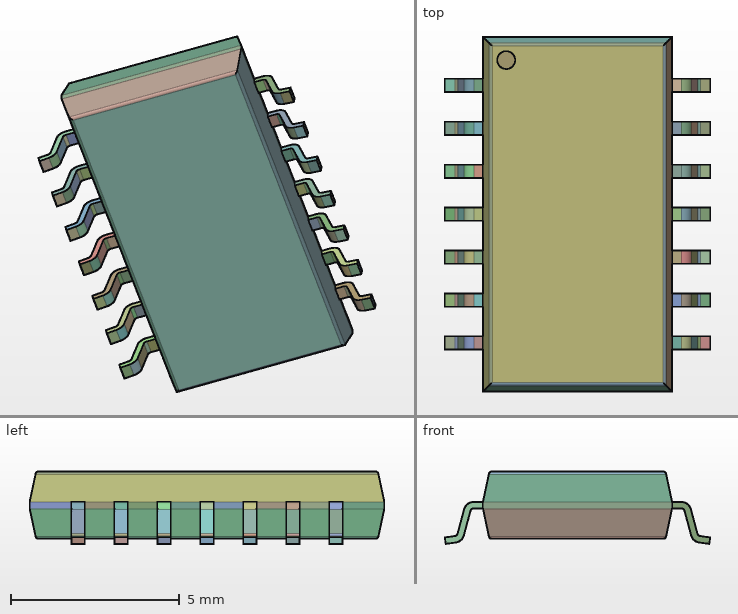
import cadquery as cq
import math

BODY_WIDTH = 5.6
BODY_LENGTH = 10.5
BODY_HEIGHT = 2.0
DRAFT_ANGLE = 12.0
EDGE_RADIUS = 0.1

MARK_DIAMETER = 0.53
MARK_DEPTH = 0.02
MARK_INSET = 0.69

LEADS_PER_SIDE = 7
LEAD_PITCH = 1.27
LEAD_WIDTH = 0.4
LEAD_THICKNESS = 0.2
LEAD_SPAN = 7.86
LEAD_EMBED = 0.2
STANDOFF = 0.15
BEND_RADIUS = 0.2
LEG_ANGLE = 75.0
FOOT_ANGLE = 8.0
FOOT_LENGTH = 0.3

MID_Z = STANDOFF + BODY_HEIGHT / 2
TOP_Z = STANDOFF + BODY_HEIGHT


def make_half_body():
    """Upper half of the body, its middle plane at Z = 0."""
    half_band = LEAD_THICKNESS / 2
    wall_height = BODY_HEIGHT / 2 - half_band
    band = cq.Workplane("XY").rect(BODY_WIDTH, BODY_LENGTH).extrude(half_band)
    wall = (
        cq.Workplane("XY")
        .workplane(offset=half_band)
        .rect(BODY_WIDTH, BODY_LENGTH)
        .extrude(wall_height, taper=DRAFT_ANGLE)
    )
    return band.union(wall).faces(">Z").edges().fillet(EDGE_RADIUS)


def make_body():
    upper = make_half_body()
    lower = upper.mirror("XY")
    return upper.union(lower).translate((0, 0, MID_Z))


def make_pin_mark():
    """Shallow round recess cutter near the -X, +Y corner."""
    x = -BODY_WIDTH / 2 + MARK_INSET
    y = BODY_LENGTH / 2 - MARK_INSET
    return (
        cq.Workplane("XY")
        .workplane(offset=TOP_Z - MARK_DEPTH)
        .center(x, y)
        .circle(MARK_DIAMETER / 2)
        .extrude(2 * MARK_DEPTH)
    )


def make_lead():
    """One +X lead, centred on Y = 0: a strip swept along its bent centreline."""
    leg = math.radians(LEG_ANGLE)
    foot = math.radians(FOOT_ANGLE)
    half_thickness = LEAD_THICKNESS / 2

    tip_x = LEAD_SPAN / 2 - half_thickness * math.sin(foot)
    tip_z = half_thickness * math.cos(foot)
    heel_x = tip_x - FOOT_LENGTH * math.cos(foot)
    heel_z = tip_z + FOOT_LENGTH * math.sin(foot)
    ankle_x = heel_x - BEND_RADIUS * (math.sin(leg) - math.sin(foot))
    ankle_z = heel_z + BEND_RADIUS * (math.cos(foot) - math.cos(leg))
    knee_z = MID_Z - BEND_RADIUS * (1 - math.cos(leg))
    knee_x = ankle_x - (knee_z - ankle_z) / math.tan(leg)
    shoulder_x = knee_x - BEND_RADIUS * math.sin(leg)
    root_x = BODY_WIDTH / 2 - LEAD_EMBED

    path = (
        cq.Workplane("XZ")
        .moveTo(root_x, MID_Z)
        .lineTo(shoulder_x, MID_Z)
        .tangentArcPoint((knee_x, knee_z), relative=False)
        .lineTo(ankle_x, ankle_z)
        .tangentArcPoint((heel_x, heel_z), relative=False)
        .lineTo(tip_x, tip_z)
    )
    section = cq.Workplane("YZ", origin=(root_x, 0, MID_Z)).rect(LEAD_WIDTH, LEAD_THICKNESS)
    return section.sweep(path)


def build_part():
    part = make_body().cut(make_pin_mark())
    right_lead = make_lead()
    left_lead = right_lead.mirror("YZ")
    for index in range(LEADS_PER_SIDE):
        y = (index - (LEADS_PER_SIDE - 1) / 2) * LEAD_PITCH
        part = part.union(right_lead.translate((0, y, 0)))
        part = part.union(left_lead.translate((0, y, 0)))
    return part


result = build_part()